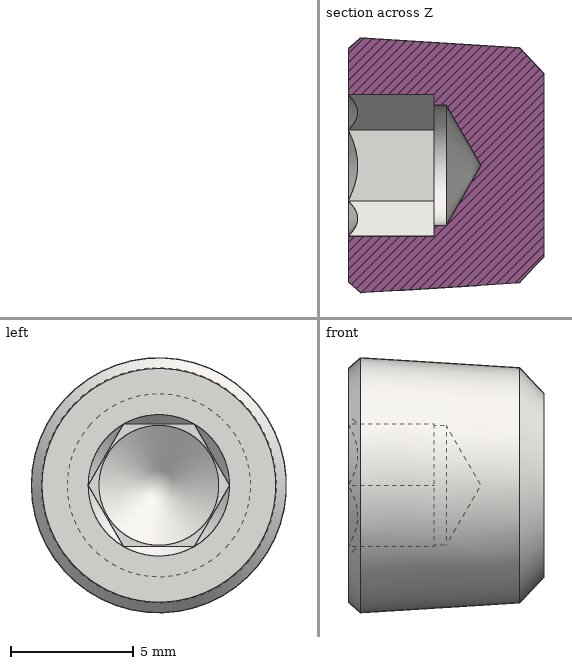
import cadquery as cq
import math

length = 8.0
large_radius = 5.21
front_face_radius = 4.77
front_chamfer_length = 0.5
taper_end_x = 7.0
taper_end_radius = 4.8
back_face_radius = 3.74

socket_across_flats = 5.0
socket_depth = 3.5
socket_corner_radius = socket_across_flats / 2 / math.cos(math.pi / 6)
lead_in_angle = math.radians(45)

drill_depth = 4.0
drill_radius = 2.45
drill_half_angle = math.radians(60)


def revolve_about_x(points):
    """Turn a closed (x, radius) outline about the X axis."""
    outline = cq.Workplane("XY").polyline(points).close()
    return outline.revolve(360, (0, 0, 0), (1, 0, 0))


def make_cone(base_x, base_radius, half_angle):
    """Solid cone narrowing to a point in the +X direction."""
    tip_x = base_x + base_radius / math.tan(half_angle)
    return revolve_about_x([(base_x, 0), (base_x, base_radius), (tip_x, 0)])


def make_body():
    return revolve_about_x([
        (0, 0),
        (0, front_face_radius),
        (front_chamfer_length, large_radius),
        (taper_end_x, taper_end_radius),
        (length, back_face_radius),
        (length, 0),
    ])


def make_socket():
    hexagon = cq.Workplane("YZ").polygon(6, 2 * socket_corner_radius).extrude(socket_depth)
    lead_in = make_cone(0, socket_corner_radius, lead_in_angle)
    pilot_hole = cq.Workplane("YZ").circle(drill_radius).extrude(drill_depth)
    drill_point = make_cone(drill_depth, drill_radius, drill_half_angle)
    return hexagon.union(lead_in).union(pilot_hole).union(drill_point)


result = make_body().cut(make_socket())